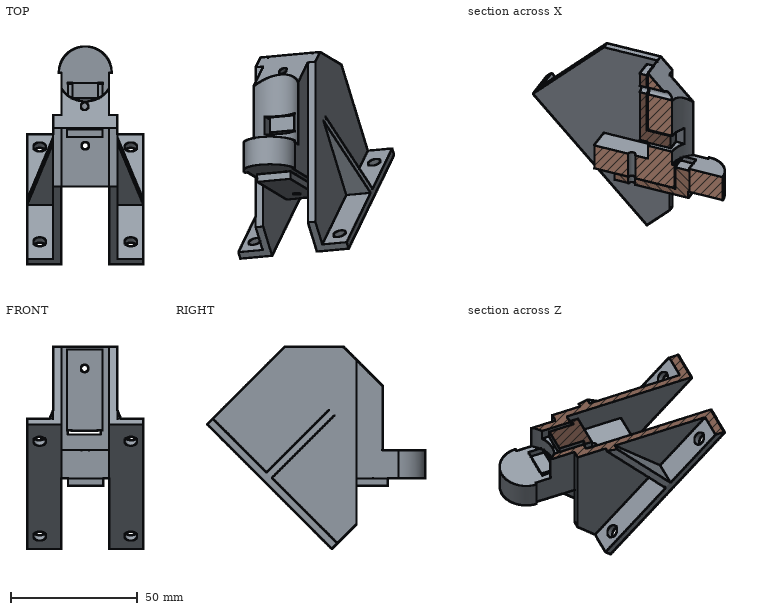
import cadquery as cq
import math


top_z = 40.8
total_height = 79.9
total_depth = 86.1
bottom_z = top_z - total_height

inner_half = 9.5
cheek_thickness = 3.2
cheek_half = inner_half + cheek_thickness
flange_half = 23.0

slab_thickness = 11.2
disc_radius = 10.5
disc_y = 21.8
scoop_radius = 11.3
wall_depth = 15.5
cheek_back_y = 5.2

base_length = 69.7
base_thickness = 3.1
base_rise = base_length / math.sqrt(2)
tip_y = disc_y + disc_radius - total_depth
tip_z = bottom_z + base_rise
heel_y = tip_y + base_rise
top_front_y = tip_y + (top_z - tip_z)
heel_back_z = bottom_z + (cheek_back_y - heel_y)

mount_hole_diameter = 5.0
mount_hole_x = 18.0
mount_hole_distances = (9.6, 62.5)
rib_distance = 31.5
rib_thickness = 3.0
rib_height = 34.9

plate_length = 31.9
plate_thickness = 3.0
plate_left = -6.9
plate_right = 7.15
block_width = 10.2
block_length = 6.0
block_height = 10.3
block_overhang = 0.35
latch_hole_diameter = 2.8
latch_hole_distance = 24.5

lower_latch_y = 17.5
upper_latch_z = 7.75
upper_latch_x = -0.3
upper_latch_gap = 0.5

bracket_hole_diameter = 3.0
slot_half = 6.9
slot_front_y = 11.6
slot_back_y = 17.8
window_left = -6.9
window_right = 6.1
window_bottom_z = 6.2
window_top_z = 13.5


def box_between(x0, x1, y0, y1, z0, z1):
    """Box given by its limits along each axis."""
    return cq.Workplane("XY").box(x1 - x0, y1 - y0, z1 - z0, centered=False).translate((x0, y0, z0))


def side_extrusion(points, x0, x1):
    """Extrude a (Y, Z) outline from x0 to x1."""
    return cq.Workplane("YZ").workplane(offset=x0).polyline(points).close().extrude(x1 - x0)


def make_cheek(x0):
    outline = [
        (cheek_back_y, heel_back_z),
        (cheek_back_y, top_z - cheek_back_y),
        (0, top_z),
        (top_front_y, top_z),
        (tip_y, tip_z),
        (heel_y, bottom_z),
    ]
    return side_extrusion(outline, x0, x0 + cheek_thickness)


def make_back_wall():
    outline = [(0, 0), (wall_depth, 0), (wall_depth, top_z - wall_depth), (0, top_z)]
    wall = side_extrusion(outline, -inner_half, inner_half)
    scoop = cq.Workplane("XY").center(0, disc_y).circle(scoop_radius).extrude(top_z)
    return wall.cut(scoop)


def make_slab():
    slab = box_between(-inner_half, inner_half, top_front_y, disc_y, -slab_thickness, 0)
    half_disc = (
        cq.Workplane("XY")
        .workplane(offset=-slab_thickness)
        .moveTo(-disc_radius, disc_y)
        .threePointArc((0, disc_y + disc_radius), (disc_radius, disc_y))
        .close()
        .extrude(slab_thickness)
    )
    return slab.union(half_disc)


def make_flange(side):
    """Foot on one side (-1 or 1) with its rib and mounting holes.

    Built flat, with the tip edge at Y = 0 and the underside at Z = 0, then tilted onto the heel-to-tip line.
    """
    inner_x, outer_x = sorted((side * inner_half, side * flange_half))
    flange = box_between(inner_x, outer_x, 0, base_length, 0, base_thickness)
    rib = (
        cq.Workplane("XZ", origin=(0, rib_distance + rib_thickness / 2, 0))
        .polyline([
            (side * cheek_half, base_thickness),
            (side * flange_half, base_thickness),
            (side * cheek_half, base_thickness + rib_height),
        ])
        .close()
        .extrude(rib_thickness)
    )
    holes = (
        cq.Workplane("XY")
        .pushPoints([(side * mount_hole_x, distance) for distance in mount_hole_distances])
        .circle(mount_hole_diameter / 2)
        .extrude(base_thickness)
    )
    flange = flange.union(rib).cut(holes)
    return flange.rotate((0, 0, 0), (1, 0, 0), -45).translate((0, tip_y, tip_z))


def make_latch_openings():
    slot = box_between(-slot_half, slot_half, slot_front_y, slot_back_y, -slab_thickness, 0)
    window = box_between(window_left, window_right, 0, wall_depth, window_bottom_z, window_top_z)
    slab_hole = (
        cq.Workplane("XY")
        .center(0, lower_latch_y - latch_hole_distance)
        .circle(bracket_hole_diameter / 2)
        .extrude(-slab_thickness)
    )
    wall_hole = (
        cq.Workplane("XZ")
        .center(upper_latch_x, upper_latch_z + latch_hole_distance)
        .circle(bracket_hole_diameter / 2)
        .extrude(-wall_depth)
    )
    return slot.union(window).union(slab_hole).union(wall_hole)


def make_bracket():
    bracket = make_slab().union(make_back_wall())
    for cheek_x in (-cheek_half, inner_half):
        bracket = bracket.union(make_cheek(cheek_x))
    for side in (-1, 1):
        bracket = bracket.union(make_flange(side))
    return bracket.cut(make_latch_openings())


def make_latch():
    """Latch with its plate running from Y = 0 toward -Y below Z = 0, and its block rising above."""
    plate = box_between(plate_left, plate_right, -plate_length, 0, -plate_thickness, 0)
    block = box_between(
        -block_width / 2, block_width / 2,
        block_overhang - block_length, block_overhang,
        0, block_height,
    )
    hole = (
        cq.Workplane("XY")
        .center(0, -latch_hole_distance)
        .circle(latch_hole_diameter / 2)
        .extrude(-plate_thickness)
    )
    return plate.union(block).cut(hole)


bracket = make_bracket()

latches = []
for tilt, position in (
    (0, (0, lower_latch_y, -slab_thickness)),
    (-90, (upper_latch_x, -upper_latch_gap, upper_latch_z)),
):
    latches.append(make_latch().rotate((0, 0, 0), (1, 0, 0), tilt).translate(position))

result = cq.Compound.makeCompound([bracket.val(), *[latch.val() for latch in latches]])